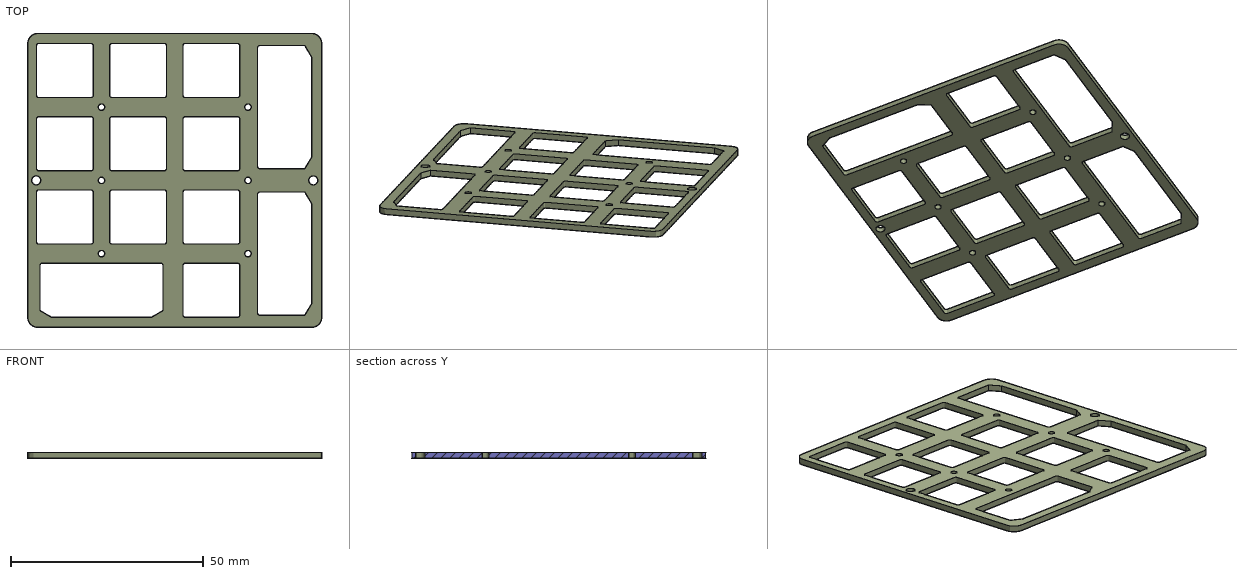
import cadquery as cq

plate_size = 76.45
plate_thickness = 1.6
plate_corner_radius = 2.7

key_pitch = 19.0
first_key = -1.5 * key_pitch

window_width = 14.7
window_depth = 14.0
window_corner_radius = 0.5

double_window_length = 31.95
cut_along_length = 3.0
cut_along_depth = 1.75

screw_hole_diameter = 1.6
side_hole_diameter = 2.3
side_hole_offset = 36.0


def key_position(index):
    """Coordinate of a key column (from -X) or key row (from -Y)."""
    return first_key + index * key_pitch


def single_window(column, row):
    """Cutter for a rounded single-key window."""
    return (
        cq.Workplane("XY")
        .rect(window_width, window_depth)
        .extrude(plate_thickness)
        .edges("|Z")
        .fillet(window_corner_radius)
        .translate((key_position(column), key_position(row), 0))
    )


def double_window(column, row, turn=0):
    """Cutter for a double-key window; its cut corners face -Y before turning about Z."""
    end = double_window_length / 2
    side = window_depth / 2
    outline = [
        (-end, side),
        (-end, -side + cut_along_depth),
        (-end + cut_along_length, -side),
        (end - cut_along_length, -side),
        (end, -side + cut_along_depth),
        (end, side),
    ]
    return (
        cq.Workplane("XY")
        .polyline(outline)
        .close()
        .extrude(plate_thickness)
        .edges("|Z and >Y")
        .fillet(window_corner_radius)
        .rotate((0, 0, 0), (0, 0, 1), turn)
        .translate((key_position(column), key_position(row), 0))
    )


def round_holes(points, diameter):
    """Cutter for a set of equal through holes."""
    return cq.Workplane("XY").pushPoints(points).circle(diameter / 2).extrude(plate_thickness)


plate = (
    cq.Workplane("XY")
    .rect(plate_size, plate_size)
    .extrude(plate_thickness)
    .edges("|Z")
    .fillet(plate_corner_radius)
)

single_keys = [(column, row) for column in range(3) for row in range(1, 4)]
single_keys.append((2, 0))
for column, row in single_keys:
    plate = plate.cut(single_window(column, row))

plate = plate.cut(double_window(0.5, 0))
for row in (0.5, 2.5):
    plate = plate.cut(double_window(3, row, turn=90))

screw_points = [(x, y) for x in (-key_pitch, key_pitch) for y in (-key_pitch, 0, key_pitch)]
side_points = [(-side_hole_offset, 0), (side_hole_offset, 0)]
plate = plate.cut(round_holes(screw_points, screw_hole_diameter))
plate = plate.cut(round_holes(side_points, side_hole_diameter))

result = plate